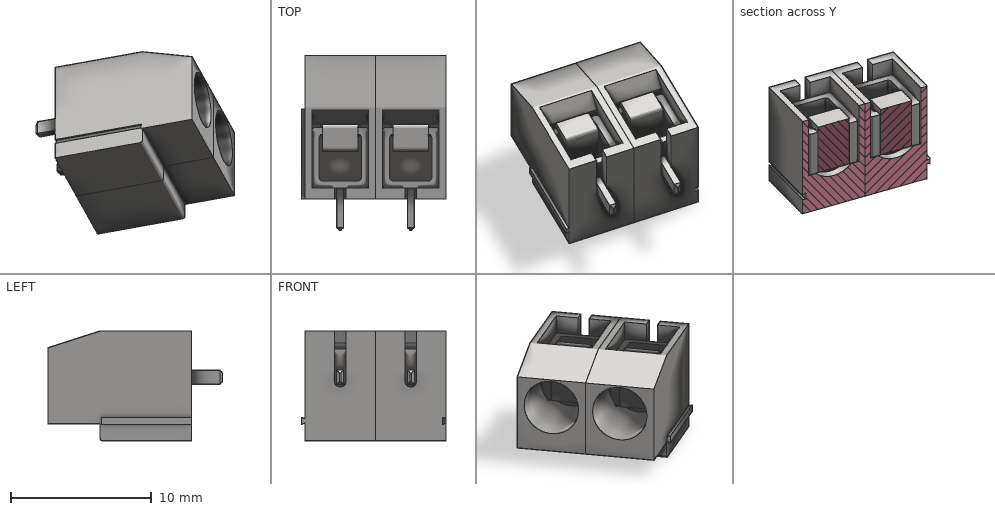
import cadquery as cq

overall_width = 10.25
overall_length = 12.4
height = 7.8
pole_count = 2

rail_depth = 0.25
rail_outer_height = 0.5
rail_root_height = 0.32
rail_center_z = 1.41
rail_length = 6.4

pitch = (overall_width - rail_depth) / pole_count
housing_length = 10.19
pole_center = pitch / 2
ridge_y = 6.5
back_slope_drop = 1.19
base_step_height = 1.2
base_edge_radius = 0.2

pocket_width = 4.0
pocket_front_y = 0.79
pocket_lip_y = 6.31
pocket_wall_y = 5.32
pocket_slope_drop = 1.0

cage_back_y = 5.1
cage_top_z = 6.51
cage_wall = 0.51
cage_corner_radius = 0.24

pin_width = 0.5
pin_height = 1.0
pin_center_z = 4.51
pin_tip_chamfer = 0.2
pin_length = overall_length - housing_length + pocket_front_y

slot_width = 0.8
slot_center_z = 4.23

screw_hole_radius = 1.98
screw_hole_end_y = 4.49
pocket_floor_z = 3.11

clamp_width = 2.52
clamp_front_y = 3.39
clamp_back_y = 5.28
clamp_top_z = 6.96
clamp_edge_radius = 0.25


def box(x_center, width, y_front, y_back, z_bottom, z_top):
    """Block centred on x_center and bounded by the given Y and Z planes."""
    return cq.Workplane("XY").box(
        width, y_back - y_front, z_top - z_bottom, centered=(True, False, False)
    ).translate((x_center, y_front, z_bottom))


def extrude_along_x(points, x_start, width):
    """Solid with a profile of (y, z) points, from x_start over the width."""
    return cq.Workplane("YZ").workplane(offset=x_start).polyline(points).close().extrude(width)


def dovetail(x_root):
    """Dovetail bar that starts at x_root, widens towards -X and runs back from the front face."""
    half_root = rail_root_height / 2
    half_outer = rail_outer_height / 2
    profile = [
        (x_root, rail_center_z - half_root),
        (x_root, rail_center_z + half_root),
        (x_root - rail_depth, rail_center_z + half_outer),
        (x_root - rail_depth, rail_center_z - half_outer),
    ]
    return cq.Workplane("XZ").polyline(profile).close().extrude(-rail_length)


def housing_shell(x_left):
    """Outer block of one pole, with the sloped back of the top and the stepped base."""
    profile = [
        (0, 0),
        (ridge_y, 0),
        (ridge_y, base_step_height),
        (housing_length, base_step_height),
        (housing_length, height - back_slope_drop),
        (ridge_y, height),
        (0, height),
    ]
    base_edge = cq.selectors.NearestToPointSelector((x_left + pole_center, ridge_y, 0))
    return extrude_along_x(profile, x_left, pitch).edges(base_edge).fillet(base_edge_radius)


def pocket(x_left):
    """Open-topped pocket whose back wall leans outwards near the top."""
    profile = [
        (pocket_front_y, pocket_floor_z),
        (pocket_wall_y, pocket_floor_z),
        (pocket_wall_y, height - pocket_slope_drop),
        (pocket_lip_y, height),
        (pocket_front_y, height),
    ]
    return extrude_along_x(profile, x_left + pole_center - pocket_width / 2, pocket_width)


def pin_slot(x_center):
    """Round-bottomed slot through the front wall, open at the top."""
    straight = box(x_center, slot_width, 0, pocket_front_y, slot_center_z, height)
    round_bottom = (
        cq.Workplane("XZ").center(x_center, slot_center_z).circle(slot_width / 2).extrude(-pocket_front_y)
    )
    return straight.union(round_bottom)


def screw_hole(x_center):
    """Round hole level with the pin, from inside the pocket through the back face."""
    return (
        cq.Workplane("XZ", origin=(x_center, screw_hole_end_y, pin_center_z))
        .circle(screw_hole_radius)
        .extrude(screw_hole_end_y - housing_length)
    )


def make_housing(index):
    """Housing of one pole; the outermost sides carry the dovetail rail and its groove."""
    x_left = index * pitch
    x_center = x_left + pole_center
    housing = (
        housing_shell(x_left)
        .cut(pocket(x_left))
        .cut(pin_slot(x_center))
        .cut(screw_hole(x_center))
    )
    if index == 0:
        housing = housing.union(dovetail(x_left))
    if index == pole_count - 1:
        housing = housing.cut(dovetail(x_left + pitch))
    return housing


def make_terminal(index):
    """Cage with its solder pin, made in one piece."""
    x_center = index * pitch + pole_center
    cage = box(x_center, pocket_width, pocket_front_y, cage_back_y, pocket_floor_z, cage_top_z)
    cage = cage.edges("|Z").fillet(cage_corner_radius)
    opening = box(
        x_center,
        pocket_width - 2 * cage_wall,
        pocket_front_y + cage_wall,
        cage_back_y - cage_wall,
        pocket_floor_z,
        cage_top_z,
    )
    opening = opening.edges("|Z").fillet(cage_corner_radius)
    pin = box(
        x_center,
        pin_width,
        pocket_front_y - pin_length,
        pocket_front_y,
        pin_center_z - pin_height / 2,
        pin_center_z + pin_height / 2,
    )
    pin = pin.faces("<Y").chamfer(pin_tip_chamfer)
    return cage.cut(opening).union(pin)


def make_clamp(index):
    """Saddle with rounded top edges that straddles the back wall of the cage."""
    x_center = index * pitch + pole_center
    clamp = box(x_center, clamp_width, clamp_front_y, clamp_back_y, pocket_floor_z, clamp_top_z)
    clamp = clamp.faces(">Z").edges("|X").fillet(clamp_edge_radius)
    cage_wall_gap = box(
        x_center, clamp_width, cage_back_y - cage_wall, cage_back_y, pocket_floor_z, cage_top_z
    )
    return clamp.cut(cage_wall_gap)


bodies = []
for pole in range(pole_count):
    bodies.append(make_housing(pole).solids().val())
    bodies.append(make_terminal(pole).solids().val())
    bodies.append(make_clamp(pole).solids().val())

result = cq.Compound.makeCompound(bodies)